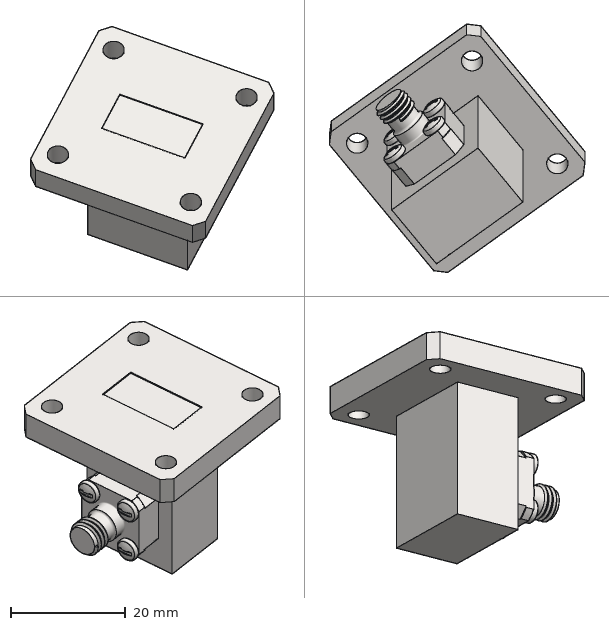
import cadquery as cq
import math

FLANGE_SIDE = 33.32
FLANGE_THICKNESS = 5.1
FLANGE_CHAMFER = 1.75
HOLE_DIAMETER = 3.7
HOLE_SPACING_X = 25.3
HOLE_SPACING_Y = 24.35
TOTAL_HEIGHT = 29.97
BODY_WIDTH = 19.0
BODY_DEPTH = 12.8
WINDOW_WIDTH = 15.8
WINDOW_HEIGHT = 7.9
WINDOW_DEPTH = 0.25

TOTAL_DEPTH = 36.35
CONNECTOR_DROP = 19.05
BASE_SIDE = 12.8
SPACER_LENGTH = 3.8
SPACER_CHAMFER = 1.88
PLATE_THICKNESS = 1.6
PLATE_CORNER_DIAMETER = 16.0

COLLAR_RADIUS = 3.18
COLLAR_LENGTH = 2.32
COLLAR_BASE_FILLET = 0.25
CORE_RADIUS = 2.71

THREAD_PITCH = 0.93
THREAD_TURNS = 3.25
THREAD_START = 0.44
THREAD_RADIUS = COLLAR_RADIUS
THREAD_BASE_WIDTH = 0.72
THREAD_CREST_WIDTH = 0.08
THREAD_OVERLAP = 0.1

SCREW_SPACING = 8.64
HEAD_RADIUS = 2.12
HEAD_RIM_HEIGHT = 1.0
HEAD_HEIGHT = 1.57
HEAD_FILLET = 0.25
SLOT_WIDTH = 0.68
SLOT_DEPTH = 0.3

BODY_FACE = BODY_DEPTH / 2
PLATE_BACK = BODY_FACE + SPACER_LENGTH
PLATE_FACE = PLATE_BACK + PLATE_THICKNESS
BARREL_TIP = TOTAL_DEPTH - FLANGE_SIDE / 2


def connector_plane(station):
    """Plane on the connector axis at a Y station, its normal pointing out along +Y."""
    return cq.Workplane(cq.Plane((0, station, -CONNECTOR_DROP), xDir=(-1, 0, 0), normal=(0, 1, 0)))


def make_flange():
    """Square flange with chamfered corners and four through holes."""
    flange = cq.Workplane("XY").rect(FLANGE_SIDE, FLANGE_SIDE).extrude(-FLANGE_THICKNESS)
    flange = flange.edges("|Z").chamfer(FLANGE_CHAMFER)
    holes = (
        cq.Workplane("XY")
        .rect(HOLE_SPACING_X, HOLE_SPACING_Y, forConstruction=True)
        .vertices()
        .circle(HOLE_DIAMETER / 2)
        .extrude(-FLANGE_THICKNESS)
    )
    return flange.cut(holes)


def make_body():
    """Rectangular body hanging below the flange."""
    body_length = TOTAL_HEIGHT - FLANGE_THICKNESS
    top_of_body = cq.Workplane("XY", origin=(0, 0, -FLANGE_THICKNESS))
    return top_of_body.rect(BODY_WIDTH, BODY_DEPTH).extrude(-body_length)


def make_window():
    """Shallow waveguide opening cut into the mating face."""
    return cq.Workplane("XY").rect(WINDOW_WIDTH, WINDOW_HEIGHT).extrude(-WINDOW_DEPTH)


def make_connector_base():
    """Chamfered square spacer carrying a square plate whose corners follow a circle."""
    spacer = connector_plane(BODY_FACE).rect(BASE_SIDE, BASE_SIDE).extrude(SPACER_LENGTH)
    spacer = spacer.edges("|Y").chamfer(SPACER_CHAMFER)
    plate = connector_plane(PLATE_BACK).rect(BASE_SIDE, BASE_SIDE).extrude(PLATE_THICKNESS)
    disc = connector_plane(PLATE_BACK).circle(PLATE_CORNER_DIAMETER / 2).extrude(PLATE_THICKNESS)
    return spacer.union(plate.intersect(disc))


def make_barrel():
    """Collar and barrel core, turned about the connector axis, with concave fillets at both steps."""
    step = COLLAR_RADIUS - CORE_RADIUS
    sine_45 = math.sin(math.radians(45))
    base_mid = COLLAR_BASE_FILLET * (1 - sine_45)
    step_mid = step * (1 - sine_45)
    length = BARREL_TIP - PLATE_FACE
    profile = (
        connector_plane(PLATE_FACE)
        .transformed(rotate=(90, 0, 0))
        .moveTo(0, 0)
        .lineTo(COLLAR_RADIUS + COLLAR_BASE_FILLET, 0)
        .threePointArc((COLLAR_RADIUS + base_mid, base_mid), (COLLAR_RADIUS, COLLAR_BASE_FILLET))
        .lineTo(COLLAR_RADIUS, COLLAR_LENGTH)
        .threePointArc((CORE_RADIUS + step_mid, COLLAR_LENGTH + step_mid), (CORE_RADIUS, COLLAR_LENGTH + step))
        .lineTo(CORE_RADIUS, length)
        .lineTo(0, length)
        .close()
    )
    return profile.revolve(360, (0, 0, 0), (0, 1, 0))


def make_thread():
    """Right-handed ridge wound from the -X side of the barrel tip toward the collar."""
    root_radius = CORE_RADIUS - THREAD_OVERLAP
    flank_slope = (THREAD_BASE_WIDTH - THREAD_CREST_WIDTH) / (THREAD_RADIUS - CORE_RADIUS)
    root_width = THREAD_BASE_WIDTH + flank_slope * THREAD_OVERLAP
    helix = cq.Wire.makeHelix(THREAD_PITCH, THREAD_PITCH * THREAD_TURNS, root_radius)
    ridge = (
        cq.Workplane("XZ")
        .moveTo(root_radius, -root_width / 2)
        .lineTo(THREAD_RADIUS, -THREAD_CREST_WIDTH / 2)
        .lineTo(THREAD_RADIUS, THREAD_CREST_WIDTH / 2)
        .lineTo(root_radius, root_width / 2)
        .close()
        .sweep(cq.Workplane(obj=helix), isFrenet=True)
    )
    start = cq.Plane((0, BARREL_TIP - THREAD_START, -CONNECTOR_DROP), xDir=(-1, 0, 0), normal=(0, -1, 0))
    return cq.Workplane(obj=ridge.val().moved(cq.Location(start)))


def make_screw_head():
    """Domed, slotted screw head seated on the plate and centred on the connector axis."""
    dome_radius = HEAD_RADIUS - HEAD_FILLET
    dome_rise = HEAD_HEIGHT - HEAD_RIM_HEIGHT
    sphere_radius = (dome_radius**2 + dome_rise**2) / (2 * dome_rise)
    rim = connector_plane(PLATE_FACE).circle(HEAD_RADIUS).extrude(HEAD_RIM_HEIGHT)
    rim = rim.faces(">Y or <Y").edges().fillet(HEAD_FILLET)
    ball = connector_plane(PLATE_FACE + HEAD_HEIGHT - sphere_radius).sphere(sphere_radius)
    dome = connector_plane(PLATE_FACE + HEAD_RIM_HEIGHT).circle(dome_radius).extrude(dome_rise).intersect(ball)
    slot = connector_plane(PLATE_FACE + HEAD_HEIGHT).rect(2 * HEAD_RADIUS, SLOT_WIDTH).extrude(-SLOT_DEPTH)
    return rim.union(dome).cut(slot)


result = make_flange().union(make_body()).cut(make_window())
result = result.union(make_connector_base()).union(make_barrel().union(make_thread()))

screw_head = make_screw_head()
for side_x in (-1, 1):
    for side_z in (-1, 1):
        offset = (side_x * SCREW_SPACING / 2, 0, side_z * SCREW_SPACING / 2)
        result = result.union(screw_head.translate(offset))